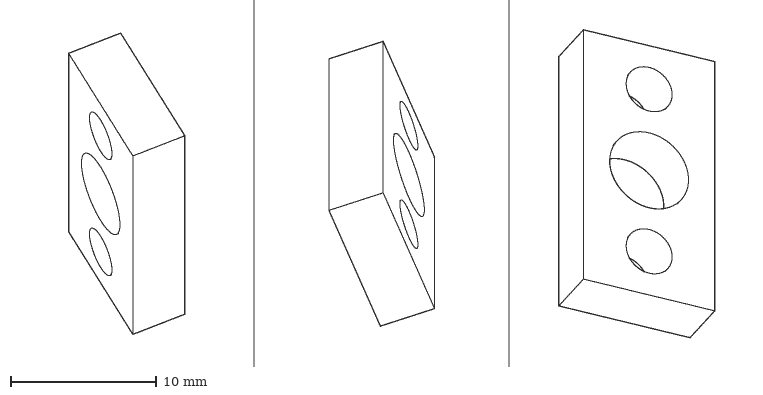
import cadquery as cq

width = 10.0
thickness = 4.0
height = 20.0

bore_diameter = 6.0
screw_hole_diameter = 3.5
screw_hole_offset = 6.5

plate = cq.Workplane("XY").box(width, thickness, height)

bored_plate = plate.faces("<Y").workplane(origin=(0, 0, 0)).hole(bore_diameter)
result = (
    bored_plate.faces("<Y")
    .workplane(origin=(0, 0, 0))
    .pushPoints([(0, -screw_hole_offset), (0, screw_hole_offset)])
    .hole(screw_hole_diameter)
)